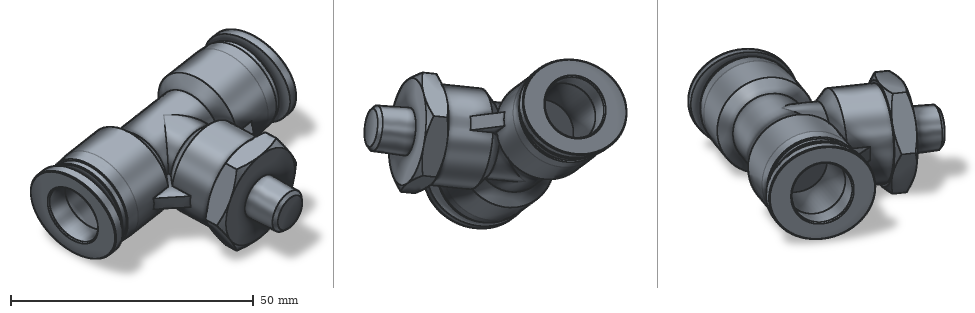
import cadquery as cq
import math

neck_radius = 8.0

socket_radius = 10.6
socket_cone_start = 8.5
socket_cone_end = socket_cone_start + socket_radius - neck_radius
socket_taper_start = 21.0
socket_taper_radius = 10.4
mouth_step = 24.0
mouth_radius = 10.0
mouth_end = 25.5
mouth_chamfer = 0.2

branch_radius = 10.5
branch_cone_start = 8.5
branch_cone_end = branch_cone_start + branch_radius - neck_radius
branch_end = 21.0

gusset_thickness = 3.0
gusset_corner = 7.0
gusset_reach = 26.4

bore_radius = 6.5
bore_chamfer = 0.3
bore_floor = socket_cone_end
collar_stem_radius = 7.4
collar_inner_end = 24.0
collar_outer_end = 29.3
flange_thickness = 2.2
flange_half_width = 11.5
flange_half_height = 10.25
flange_chamfer = 0.2

hex_across_flats = 22.23
hex_across_corners = hex_across_flats / math.cos(math.pi / 6)
hex_thickness = 5.0
hex_end = branch_end + hex_thickness
hex_chamfer_radius = hex_across_flats / 2
hex_chamfer_angle = math.radians(30)
thread_end = 34.0
thread_base_radius = 5.0
thread_tip_radius = 4.77
thread_chamfer = 0.8


def run_cylinder(radius, start, end):
    """Cylinder along +Y between two distances from the origin."""
    return cq.Workplane("XZ", origin=(0, start, 0)).circle(radius).extrude(start - end)


def revolve_about_y(profile):
    """Turn a closed (radius, y) profile around the run axis."""
    return cq.Workplane("XY").polyline(profile).close().revolve(360, (0, 0), (0, 1))


def revolve_about_x(profile):
    """Turn a closed (x, radius) profile around the branch axis."""
    return cq.Workplane("XY").polyline(profile).close().revolve(360, (0, 0), (1, 0))


def mirrored_in_y(shape):
    return shape.mirror("XZ")


def make_half_run():
    return revolve_about_y([
        (0, 0),
        (neck_radius, 0),
        (neck_radius, socket_cone_start),
        (socket_radius, socket_cone_end),
        (socket_radius, socket_taper_start),
        (socket_taper_radius, mouth_step),
        (mouth_radius, mouth_step),
        (mouth_radius, mouth_end - mouth_chamfer),
        (mouth_radius - mouth_chamfer, mouth_end),
        (0, mouth_end),
    ])


def make_branch():
    return revolve_about_x([
        (0, 0),
        (0, neck_radius),
        (branch_cone_start, neck_radius),
        (branch_cone_end, branch_radius),
        (branch_end, branch_radius),
        (branch_end, 0),
    ])


def make_gusset():
    gusset_tip = gusset_reach - gusset_corner
    return (
        cq.Workplane("XY")
        .polyline([(gusset_corner, gusset_corner), (gusset_tip, gusset_corner), (gusset_corner, gusset_tip)])
        .close()
        .extrude(gusset_thickness / 2, both=True)
    )


def make_tube_socket():
    """Blind tube bore with the wider recess that holds the collar stem."""
    bore = run_cylinder(bore_radius, bore_floor, mouth_end)
    recess = run_cylinder(collar_stem_radius, collar_inner_end, mouth_end)
    return bore.union(recess)


def make_tee():
    half_run = make_half_run()
    gusset = make_gusset()
    tube_socket = make_tube_socket()
    tee = half_run.union(mirrored_in_y(half_run)).union(make_branch())
    tee = tee.union(gusset).union(mirrored_in_y(gusset))
    return tee.cut(tube_socket).cut(mirrored_in_y(tube_socket))


def make_collar():
    """Release collar at the +Y end: round stem with an oval flange and a through bore."""
    flange = (
        cq.Workplane("XZ", origin=(0, collar_outer_end, 0))
        .ellipse(flange_half_width, flange_half_height)
        .extrude(flange_thickness)
        .faces(">Y").chamfer(flange_chamfer)
    )
    stem = run_cylinder(collar_stem_radius, collar_inner_end, collar_outer_end - flange_thickness)
    bore = run_cylinder(bore_radius, collar_inner_end, collar_outer_end)
    lead_in = revolve_about_y([
        (0, collar_outer_end - bore_chamfer),
        (bore_radius, collar_outer_end - bore_chamfer),
        (bore_radius + bore_chamfer, collar_outer_end),
        (0, collar_outer_end),
    ])
    return flange.union(stem).cut(bore).cut(lead_in)


def make_connector():
    """Hexagon with both ends chamfered and a tapered thread stub on the outer face."""
    corner_radius = hex_across_corners / 2
    hex_chamfer = (corner_radius - hex_chamfer_radius) * math.tan(hex_chamfer_angle)
    hexagon = (
        cq.Workplane("YZ", origin=(branch_end, 0, 0))
        .polygon(6, hex_across_corners)
        .extrude(hex_thickness)
    )
    chamfer_envelope = revolve_about_x([
        (branch_end, 0),
        (branch_end, hex_chamfer_radius),
        (branch_end + hex_chamfer, corner_radius),
        (hex_end - hex_chamfer, corner_radius),
        (hex_end, hex_chamfer_radius),
        (hex_end, 0),
    ])
    thread = revolve_about_x([
        (hex_end, 0),
        (hex_end, thread_base_radius),
        (thread_end - thread_chamfer, thread_tip_radius),
        (thread_end, thread_tip_radius - thread_chamfer),
        (thread_end, 0),
    ])
    return hexagon.intersect(chamfer_envelope).union(thread)


tee = make_tee()
connector = make_connector()
collar = make_collar()
collars = [collar, mirrored_in_y(collar)]

result = cq.Compound.makeCompound([
    tee.val(),
    connector.val(),
    *[one_collar.val() for one_collar in collars],
])